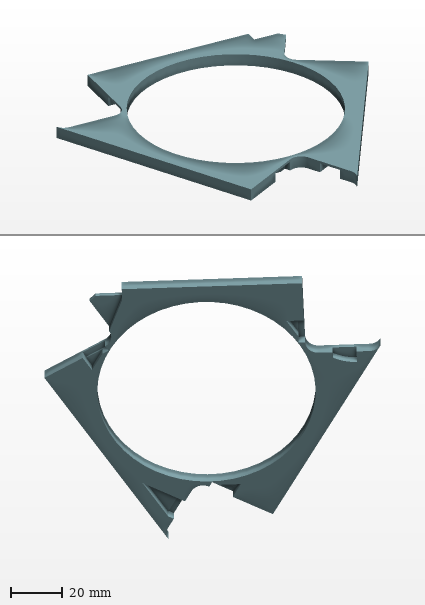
import cadquery as cq
import math

thickness = 5.0
opening_diameter = 85.0
edge_distance = 49.8
short_edge_x = 39.3
tip_edge_distance = 16.7
blend_radius = 5.1
arm_angle = 120
tip_angle = 60

step_x = -31.0
step_depth = 5.0
tab_corner_x = -41.4
tab_thickness = 1.7
tip_cutter_reach = 78.9

recess_height = 4.0
cavity_height = 3.3
recess_depth = 2.5
short_recess_length = 10.4
short_ledge_length = 2.9
tip_recess_start = 49.8
tip_recess_end = 59.1
curved_recess_depth = 5.0

cos_30 = math.cos(math.radians(30))
sin_30 = math.sin(math.radians(30))
cos_60 = math.cos(math.radians(tip_angle))
sin_60 = math.sin(math.radians(tip_angle))

tip_x = (edge_distance + tip_edge_distance * sin_30) / cos_30
flare_length = blend_radius * math.tan(math.radians(tip_angle / 2))
flare_start = (tip_x - flare_length, -tip_edge_distance)
flare_end = (tip_x + flare_length * cos_60, -tip_edge_distance - flare_length * sin_60)
flare_middle = (
    flare_start[0] + blend_radius * sin_30,
    flare_start[1] - blend_radius * (1 - cos_30),
)
corner_center = (short_edge_x + blend_radius, -tip_edge_distance - blend_radius)
corner_middle = (
    corner_center[0] - blend_radius * math.sqrt(0.5),
    corner_center[1] + blend_radius * math.sqrt(0.5),
)


def turn(point, degrees):
    """Rotate a point about the ring's centre."""
    angle = math.radians(degrees)
    x, y = point
    return (
        x * math.cos(angle) - y * math.sin(angle),
        x * math.sin(angle) + y * math.cos(angle),
    )


def prism(points, height):
    return cq.Workplane("XY").polyline(points).close().extrude(height)


def place_on_arm(body, degrees):
    return body.rotate((0, 0, 0), (0, 0, 1), degrees)


def make_ring():
    outline = cq.Workplane("XY").moveTo(*turn(flare_end, -arm_angle))
    for arm in range(3):
        angle = arm * arm_angle
        outline = (
            outline.lineTo(*turn((short_edge_x, -edge_distance), angle))
            .lineTo(*turn((short_edge_x, corner_center[1]), angle))
            .threePointArc(
                turn(corner_middle, angle),
                turn((corner_center[0], -tip_edge_distance), angle),
            )
            .lineTo(*turn(flare_start, angle))
            .threePointArc(turn(flare_middle, angle), turn(flare_end, angle))
        )
    opening = cq.Workplane("XY").circle(opening_diameter / 2).extrude(thickness)
    return outline.close().extrude(thickness).cut(opening)


def shortened_tip_cut():
    """Trim the third tip to a bevelled tab and thin the tab from below."""
    step_y = -edge_distance + step_depth
    bevel_reach = tip_cutter_reach + tab_corner_x
    trim = prism(
        [
            (step_x, -tip_cutter_reach),
            (step_x, step_y),
            (tab_corner_x, step_y),
            (-tip_cutter_reach, step_y + bevel_reach),
            (-tip_cutter_reach, -tip_cutter_reach),
        ],
        thickness,
    )
    blend_start = turn((corner_center[0], -tip_edge_distance), -arm_angle)
    relief = prism(
        [
            (step_x, step_y),
            blend_start,
            (-tip_cutter_reach, blend_start[1]),
            (-tip_cutter_reach, step_y),
        ],
        thickness - tab_thickness,
    )
    return place_on_arm(trim.union(relief), -arm_angle)


def short_edge_recess():
    """Stepped recess beside the inner corner, with a slanted inner wall."""
    back_x = short_edge_x - recess_depth
    top_y = corner_center[1]
    bottom_y = top_y - short_recess_length
    ledge_y = top_y - short_ledge_length
    inner_x = back_x - (ledge_y - bottom_y) * math.tan(math.radians(30))
    mouth = prism(
        [(short_edge_x, top_y), (back_x, top_y), (back_x, bottom_y), (short_edge_x, bottom_y)],
        recess_height,
    )
    cavity = prism([(back_x, ledge_y), (inner_x, bottom_y), (back_x, bottom_y)], cavity_height)
    return mouth.union(cavity)


def right_tip_recess():
    """Stepped recess whose back wall is parallel to the arm's long edge."""
    mouth_y = -tip_edge_distance
    back_y = mouth_y + recess_depth
    width = tip_recess_end - tip_recess_start
    inner_y = back_y + width * math.tan(math.radians(tip_angle))
    mouth = prism(
        [
            (tip_recess_start, mouth_y),
            (tip_recess_end, mouth_y),
            (tip_recess_end, back_y),
            (tip_recess_start, back_y),
        ],
        recess_height,
    )
    cavity = prism(
        [(tip_recess_start, back_y), (tip_recess_end, back_y), (tip_recess_start, inner_y)],
        cavity_height,
    )
    return mouth.union(cavity)


def bottom_tip_recess():
    """Recess with a curved back wall that deepens toward the tip."""
    mouth_y = -tip_edge_distance
    width = tip_recess_end - tip_recess_start
    rise = curved_recess_depth - recess_depth
    wall_radius = (width**2 + rise**2) / (2 * rise)
    deep_corner = (tip_recess_end, mouth_y + curved_recess_depth)
    wall_middle = (
        tip_recess_end - width / 2,
        deep_corner[1] - wall_radius + math.sqrt(wall_radius**2 - (width / 2) ** 2),
    )
    recess = (
        cq.Workplane("XY")
        .moveTo(tip_recess_start, mouth_y)
        .lineTo(tip_recess_end, mouth_y)
        .lineTo(*deep_corner)
        .threePointArc(wall_middle, (tip_recess_start, mouth_y + recess_depth))
        .close()
        .extrude(cavity_height)
    )
    return place_on_arm(recess, -arm_angle)


result = make_ring().cut(shortened_tip_cut())
for arm in range(3):
    result = result.cut(place_on_arm(short_edge_recess(), arm * arm_angle))
result = result.cut(right_tip_recess()).cut(bottom_tip_recess())